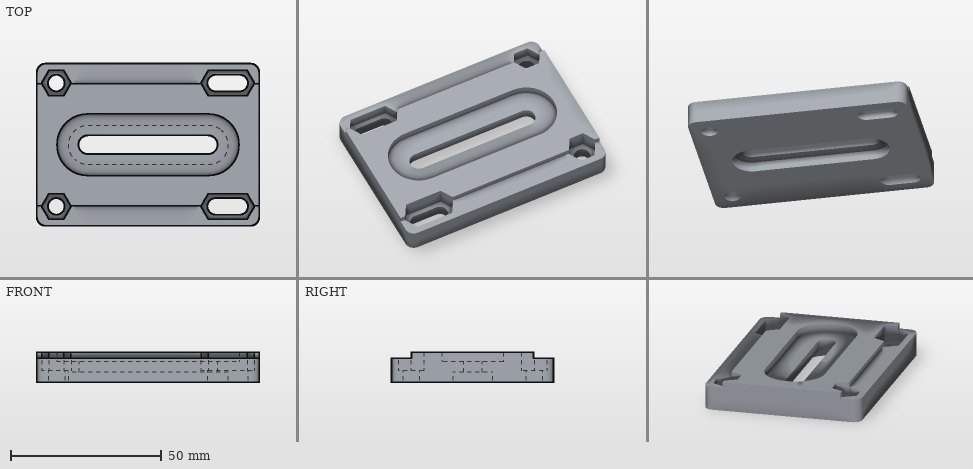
import cadquery as cq
import math

length = 74.0
width = 54.0
height = 10.0
corner_radius = 3.0

band_width = 40.7
band_height = 2.0
shoulder_height = height - band_height

slot_travel = 40.0
slot_width = 6.15
recess_width = 20.5
underside_recess_width = 13.0
recess_depth = 3.0
web_thickness = 3.5
web_top = height - recess_depth
web_bottom = web_top - web_thickness

hole_diameter = 5.5
fixing_inset = 6.5
fixing_spacing_y = 41.0
fixing_travel = 8.0
nut_across_flats = 8.5
nut_floor_height = 4.0

hole_x = -length / 2 + fixing_inset
fixing_slot_x = length / 2 - fixing_inset - fixing_travel / 2


def plate():
    base = (
        cq.Workplane("XY")
        .rect(length, width)
        .extrude(shoulder_height)
        .edges("|Z")
        .fillet(corner_radius)
    )
    band = (
        cq.Workplane("XY", origin=(0, 0, shoulder_height))
        .rect(length, band_width)
        .extrude(band_height)
    )
    return base.union(band)


def slot_cutter(x, y, travel, slot_diameter, bottom, top):
    """Round-ended slot along X, between the heights bottom and top."""
    return (
        cq.Workplane("XY", origin=(x, y, bottom))
        .slot2D(travel + slot_diameter, slot_diameter)
        .extrude(top - bottom)
    )


def nut_pocket_cutter(x, y, travel):
    """Hexagon with points along X, stretched along X by travel."""
    half_flat = nut_across_flats / 2
    half_side = half_flat * math.tan(math.pi / 6) + travel / 2
    half_points = half_flat / math.cos(math.pi / 6) + travel / 2
    outline = [
        (half_points, 0),
        (half_side, half_flat),
        (-half_side, half_flat),
        (-half_points, 0),
        (-half_side, -half_flat),
        (half_side, -half_flat),
    ]
    return (
        cq.Workplane("XY", origin=(x, y, nut_floor_height))
        .polyline(outline)
        .close()
        .extrude(height - nut_floor_height)
    )


result = plate()

result = result.cut(slot_cutter(0, 0, slot_travel, recess_width, web_top, height))
result = result.cut(slot_cutter(0, 0, slot_travel, underside_recess_width, 0, web_bottom))
result = result.cut(slot_cutter(0, 0, slot_travel, slot_width, web_bottom, web_top))

for y in (-fixing_spacing_y / 2, fixing_spacing_y / 2):
    hole = cq.Workplane("XY", origin=(hole_x, y, 0)).circle(hole_diameter / 2).extrude(height)
    result = result.cut(hole).cut(nut_pocket_cutter(hole_x, y, 0))
    fixing_slot = slot_cutter(fixing_slot_x, y, fixing_travel, hole_diameter, 0, height)
    result = result.cut(fixing_slot).cut(nut_pocket_cutter(fixing_slot_x, y, fixing_travel))